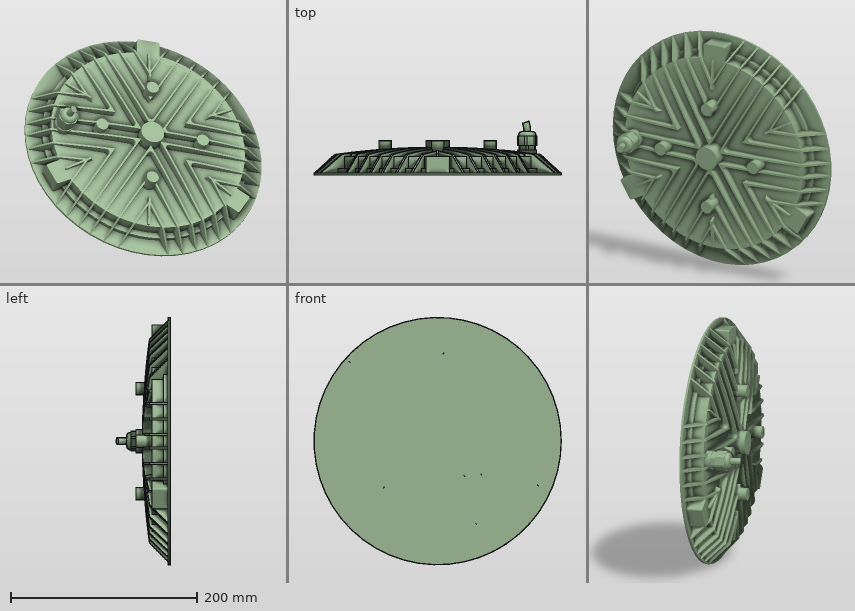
import cadquery as cq
import math


DISC_RADIUS = 132.75
DISC_THICKNESS = 2.4
LENS_RADIUS = 112.8
INNER_LENS_RADIUS = 85.6

STEP_RADIUS = 114.6
STEP_HEIGHT = 7.2
CORE_RADIUS = 108.4
CORE_HEIGHT = 19.9

SECTORS = 6
FIRST_FIN_OFFSET = 7.3
FIN_SPACING = 16.6
FINS_PER_HALF_SECTOR = 3
FIN_THICKNESS = 2.1
FIN_FOOT_RADIUS = 132.2
FIN_SHOULDER_RADIUS = 110.5
FIN_SHOULDER_HEIGHT = 22.3
FIN_CROWN_HEIGHT = 30.1
FIN_BEND_RADIUS = 3.6

RIB_OUTER_RADIUS = 107.5
RIB_INNER_RADIUS = 73.0
RIB_INNER_SLOPE = 5.0

BOSS_TOP = 37.0
BOSS_RADIUS = 6.7
BOSS_CIRCLE_RADIUS = 56.4
BOSS_COUNT = 4
HUB_RADIUS = 12.7

CLIP_ANGLES = (-90, 30, 150)
CLIP_WIDTH = 25.2
CLIP_INNER_RADIUS = 100.0
CLIP_OUTER_RADIUS = 124.8
CLIP_CORNER_RADIUS = 2.0
PAD_WIDTH = 20.6
PAD_INNER_RADIUS = 105.4
PAD_OUTER_RADIUS = 121.4
PAD_CORNER_RADIUS = 3.0

GLAND_X = 96.1
HEX_SIDES = 6
COLLAR_RADIUS = 10.2
COLLAR_TOP = 27.1
NECK_FLATS = 17.8
NECK_CORNER_RADIUS = 9.6
NECK_TURN = 30.0
NECK_TOP = 31.7
NUT_FLATS = 19.7
NUT_CORNER_RADIUS = 10.7
NUT_TURN = 21.2
NUT_TOP = 42.3
CAP_RADIUS = 9.4
CAP_TOP = 47.0
CAP_ROUND = 4.2

CABLE_RADIUS = 3.75
CABLE_BEND_RADIUS = 30.0
LAMP_DEPTH = 58.11


def cylinder(radius, bottom, top):
    return cq.Workplane("XY").workplane(offset=bottom).circle(radius).extrude(top - bottom)


def radial_block(inner, outer, width, height):
    """Block on the +X axis reaching from one radius to another."""
    return cq.Workplane("XY").center((inner + outer) / 2, 0).rect(outer - inner, width).extrude(height)


def about_axis(body, angle):
    return body.rotate((0, 0, 0), (0, 0, 1), angle)


def clip_pads():
    pad = radial_block(PAD_INNER_RADIUS, PAD_OUTER_RADIUS, PAD_WIDTH, DISC_THICKNESS)
    pad = pad.edges("|Z and <X").fillet(PAD_CORNER_RADIUS)
    return [about_axis(pad, angle) for angle in CLIP_ANGLES]


def disc_parts():
    """Rim, lens, inner lens and pads, which fill one flat disc without overlapping."""
    inner_lens = cylinder(INNER_LENS_RADIUS, 0, DISC_THICKNESS)
    lens = cylinder(LENS_RADIUS, 0, DISC_THICKNESS).cut(inner_lens)
    rim = cylinder(DISC_RADIUS, 0, DISC_THICKNESS).cut(lens).cut(inner_lens)
    pads = clip_pads()
    for pad in pads:
        lens = lens.cut(pad)
        rim = rim.cut(pad)
    return [inner_lens, lens, rim] + pads


def core():
    step = cylinder(STEP_RADIUS, DISC_THICKNESS, STEP_HEIGHT)
    return step.union(cylinder(CORE_RADIUS, DISC_THICKNESS, CORE_HEIGHT))


def clips():
    clip = radial_block(CLIP_INNER_RADIUS, CLIP_OUTER_RADIUS, CLIP_WIDTH, CORE_HEIGHT - DISC_THICKNESS)
    clip = clip.edges("|Z and >X").fillet(CLIP_CORNER_RADIUS).translate((0, 0, DISC_THICKNESS))
    return [about_axis(clip, angle) for angle in CLIP_ANGLES]


def fin_envelope():
    """Solid of revolution bounding the fins: domed back and sloping flank."""
    rise = FIN_CROWN_HEIGHT - FIN_SHOULDER_HEIGHT
    dome_radius = (FIN_SHOULDER_RADIUS ** 2 + rise ** 2) / (2 * rise)
    mid_radius = FIN_SHOULDER_RADIUS / 2
    mid_height = FIN_CROWN_HEIGHT - dome_radius + math.sqrt(dome_radius ** 2 - mid_radius ** 2)
    return (
        cq.Workplane("XZ")
        .moveTo(0, DISC_THICKNESS)
        .lineTo(FIN_FOOT_RADIUS, DISC_THICKNESS)
        .lineTo(FIN_SHOULDER_RADIUS, FIN_SHOULDER_HEIGHT)
        .threePointArc((mid_radius, mid_height), (0, FIN_CROWN_HEIGHT))
        .close()
        .revolve(360, (0, 0, 0), (0, 1, 0))
    )


def chevron(offset, rounded):
    """Two fins at a given distance from their sector axes, meeting on the +X sector boundary."""
    half_angle = math.pi / SECTORS
    reach_x = DISC_RADIUS * math.cos(half_angle)
    reach_y = DISC_RADIUS * math.sin(half_angle)
    near = (offset - FIN_THICKNESS / 2) / math.sin(half_angle)
    far = (offset + FIN_THICKNESS / 2) / math.sin(half_angle)
    outline = [
        (near, 0),
        (near + reach_x, reach_y),
        (far + reach_x, reach_y),
        (far, 0),
        (far + reach_x, -reach_y),
        (near + reach_x, -reach_y),
    ]
    fin = cq.Workplane("XY").polyline(outline).close().extrude(FIN_CROWN_HEIGHT)
    if rounded:
        bend = cq.selectors.NearestToPointSelector((far, 0, FIN_CROWN_HEIGHT / 2))
        fin = fin.edges(bend).fillet(FIN_BEND_RADIUS)
    return fin


def radial_rib():
    """Rib on the +X sector boundary with a slanted inner end, full height before trimming."""
    return (
        cq.Workplane("XZ")
        .moveTo(RIB_INNER_RADIUS, CORE_HEIGHT)
        .lineTo(RIB_OUTER_RADIUS, CORE_HEIGHT)
        .lineTo(RIB_OUTER_RADIUS, FIN_CROWN_HEIGHT)
        .lineTo(RIB_INNER_RADIUS + RIB_INNER_SLOPE, FIN_CROWN_HEIGHT)
        .close()
        .extrude(FIN_THICKNESS / 2, both=True)
    )


def fins():
    envelope = fin_envelope()
    bodies = []
    for row in range(FINS_PER_HALF_SECTOR):
        outermost = row == FINS_PER_HALF_SECTOR - 1
        fin = chevron(FIRST_FIN_OFFSET + row * FIN_SPACING, rounded=not outermost)
        if outermost:
            fin = fin.union(radial_rib())
        fin = fin.intersect(envelope)
        for sector in range(SECTORS):
            bodies.append(about_axis(fin, (sector + 0.5) * 360 / SECTORS))
    return bodies


def bosses():
    boss = cylinder(BOSS_RADIUS, CORE_HEIGHT, BOSS_TOP).translate((BOSS_CIRCLE_RADIUS, 0, 0))
    ring = [about_axis(boss, index * 360 / BOSS_COUNT) for index in range(BOSS_COUNT)]
    return ring + [cylinder(HUB_RADIUS, CORE_HEIGHT, BOSS_TOP)]


def hexagon(flats, corner_radius, turn, bottom, top):
    """Hexagonal prism with its corners turned down to a circle."""
    across_corners = flats / math.cos(math.pi / HEX_SIDES)
    section = cq.Workplane("XY").workplane(offset=bottom).polygon(HEX_SIDES, across_corners)
    prism = section.extrude(top - bottom)
    return about_axis(prism, turn).intersect(cylinder(corner_radius, bottom, top))


def cable():
    bend = math.degrees(math.asin((LAMP_DEPTH - CAP_TOP) / (CABLE_BEND_RADIUS + CABLE_RADIUS)))
    section = cq.Workplane("XY").workplane(offset=CAP_TOP).circle(CABLE_RADIUS)
    return section.revolve(bend, (-CABLE_BEND_RADIUS, 1, 0), (-CABLE_BEND_RADIUS, 0, 0))


def cable_gland():
    cap = cylinder(CAP_RADIUS, NUT_TOP, CAP_TOP).faces(">Z").edges().fillet(CAP_ROUND)
    gland = (
        cylinder(COLLAR_RADIUS, CORE_HEIGHT, COLLAR_TOP)
        .union(hexagon(NECK_FLATS, NECK_CORNER_RADIUS, NECK_TURN, COLLAR_TOP, NECK_TOP))
        .union(hexagon(NUT_FLATS, NUT_CORNER_RADIUS, NUT_TURN, NECK_TOP, NUT_TOP))
        .union(cap)
        .union(cable())
    )
    return gland.translate((GLAND_X, 0, 0))


bodies = disc_parts() + [core()] + clips() + fins() + bosses() + [cable_gland()]
lamp = bodies[0].val().fuse(*[body.val() for body in bodies[1:]])
result = cq.Workplane(lamp).rotate((0, 0, 0), (1, 0, 0), -90)